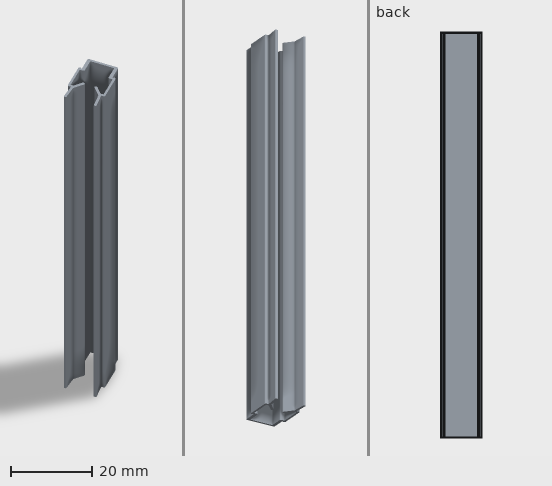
import cadquery as cq
import math

length = 100.0
width = 10.0
depth = 14.7
back_y = depth / 2
front_y = -depth / 2

channel_width = 8.2
channel_wall = 0.9
back_wall = 0.6
channel_depth = 4.4

side_wall = 0.6
side_start = 3.6
side_end = 10.8
shelf = 0.6

leg_wall = 0.7
leg_root_x = 4.0
leg_tip_x = 4.4

arm_wall = 0.75
arm_root_x = 3.5
arm_root_depth = 10.6
arm_tip_x = 1.7
arm_tip_depth = 8.6

corner_radius = 0.35
leg_tip_radius = 0.25


def plate(points):
    """Extrude a closed outline over the full length."""
    return cq.Workplane("XY").polyline(points).close().extrude(length)


def box(x_min, x_max, depth_min, depth_max):
    """Rectangular bar; depths are measured forwards from the back face."""
    y_min = back_y - depth_max
    y_max = back_y - depth_min
    return plate([(x_min, y_min), (x_max, y_min), (x_max, y_max), (x_min, y_max)])


def leg():
    """Splayed plate with its outer front corner rounded."""
    shelf_y = back_y - side_end + shelf
    bar = plate([
        (leg_root_x, shelf_y),
        (leg_tip_x, front_y),
        (leg_tip_x - leg_wall, front_y),
        (leg_root_x - leg_wall, shelf_y),
    ])
    return bar.edges("|Z and >X").fillet(leg_tip_radius)


def arm():
    """Round-ended slanted bar."""
    run_x = arm_tip_x - arm_root_x
    run_y = arm_root_depth - arm_tip_depth
    centre_x = (arm_root_x + arm_tip_x) / 2
    centre_y = back_y - (arm_root_depth + arm_tip_depth) / 2
    return (
        cq.Workplane("XY")
        .center(centre_x, centre_y)
        .slot2D(math.hypot(run_x, run_y) + arm_wall, arm_wall, math.degrees(math.atan2(run_y, run_x)))
        .extrude(length)
    )


def half_profile():
    """The half of the profile on the +X side."""
    channel_outer = channel_width / 2
    channel_inner = channel_outer - channel_wall
    side_outer = width / 2
    side_inner = side_outer - side_wall
    back = box(0, channel_outer, 0, back_wall)
    channel_side = box(channel_inner, channel_outer, 0, channel_depth)
    rear_shelf = box(channel_inner, side_outer, channel_depth - shelf, channel_depth)
    side_plate = box(side_inner, side_outer, side_start, side_end)
    front_shelf = box(arm_root_x, side_outer, side_end - shelf, side_end)

    body = back.union(channel_side).union(rear_shelf).union(side_plate).union(front_shelf).clean()
    body = body.edges("|Z and >X").fillet(corner_radius)
    body = body.edges("|Z and >Y and (not <X)").fillet(corner_radius)
    channel_lip = cq.selectors.NearestToPointSelector((channel_inner, back_y - channel_depth, length / 2))
    body = body.edges(channel_lip).fillet(corner_radius)
    return body.union(leg()).union(arm())


half = half_profile()
result = half.union(half.mirror("YZ")).clean()